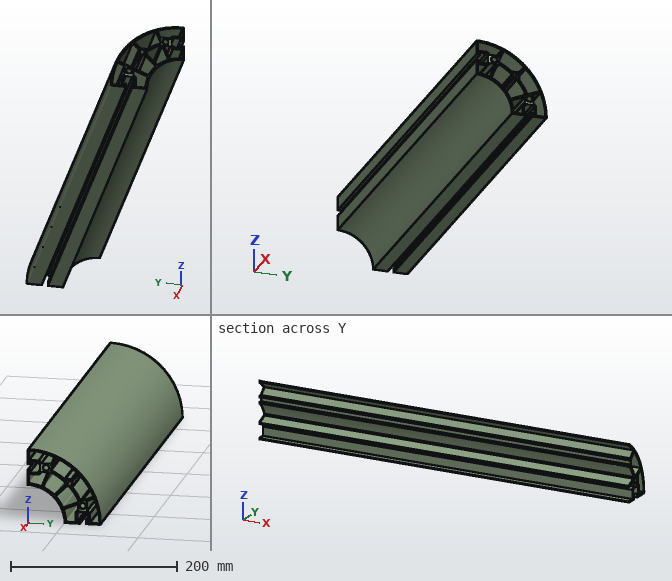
import cadquery as cq
import math

length = 500.0
outer_radius = 89.5
inner_radius = 45.0
outer_skin = 1.75
inner_skin = 2.0
end_skin = 1.75
end_corner_round = 2.0

slot_center = (outer_radius + inner_radius) / 2
slot_opening = 7.5
slot_width = 13.0
slot_depth = 15.0
slot_corner_chamfer = 2.5
slot_wall = 2.25
lip_edge_thickness = 4.5
lip_root_thickness = 2.5

bore_depth = 22.5
bore_diameter = 7.5
bore_boss_width = 11.0
bore_boss_end = 28.5

channel_center_radius = 71.0
channel_side = 6.5
channel_wall = 1.5

web = 2.0
side_web_angle = 22.5
middle_angle = 45.0
web_foot_round = 2.0
middle_wall_radius = 69.5

diagonal = math.sqrt(0.5)
cavity_inner_radius = inner_radius + inner_skin
cavity_outer_radius = outer_radius - outer_skin


def profile_at(y, z):
    """Sketch plane across the extrusion; local x is +Y and local y is +Z."""
    return cq.Workplane("YZ").center(y, z)


def block(y_min, y_max, z_min, z_max):
    center = profile_at((y_min + y_max) / 2, (z_min + z_max) / 2)
    return center.rect(y_max - y_min, z_max - z_min).extrude(length)


def quarter_ring(outer, inner):
    """Quarter ring between two radii, from the Y axis to the Z axis."""
    return (
        profile_at(0, 0)
        .moveTo(inner, 0)
        .lineTo(outer, 0)
        .threePointArc((outer * diagonal, outer * diagonal), (0, outer))
        .lineTo(0, inner)
        .threePointArc((inner * diagonal, inner * diagonal), (inner, 0))
        .close()
        .extrude(length)
    )


def turned(body, angle):
    return body.rotate((0, 0, 0), (1, 0, 0), angle)


def both_ends(body):
    """A body together with its reflection across the plane Y = Z."""
    return body.union(turned(body.mirror("XZ"), -90))


def hollow_shell():
    """Outer and inner skins closed by the two flat end faces."""
    envelope = quarter_ring(outer_radius, inner_radius)
    envelope = envelope.edges("|X").edges(">Y or >Z").fillet(end_corner_round)
    cavity = quarter_ring(cavity_outer_radius, cavity_inner_radius)
    cavity = cavity.intersect(block(end_skin, outer_radius, end_skin, outer_radius))
    return envelope.cut(cavity)


def radial_web(angle):
    start = inner_radius + inner_skin / 2
    end = outer_radius - outer_skin / 2
    return turned(block(start, end, -web / 2, web / 2), angle)


def middle_wall():
    """Curved wall running from one bore to the other."""
    wall = quarter_ring(middle_wall_radius + web / 2, middle_wall_radius - web / 2)
    return wall.intersect(block(bore_depth, outer_radius, bore_depth, outer_radius))


def on_inner_skin(edge):
    center = edge.Center()
    return math.isclose(math.hypot(center.y, center.z), cavity_inner_radius)


def slot_housing():
    """Wall of even thickness around the slot, with the boss for the bore."""
    half_width = slot_width / 2 + slot_wall
    chamfer = slot_corner_chamfer + slot_wall * (2 - math.sqrt(2))
    housing = block(0, slot_depth + slot_wall, slot_center - half_width, slot_center + half_width)
    housing = housing.edges("|X and >Y").chamfer(chamfer)
    half_boss = bore_boss_width / 2
    boss = block(slot_depth, bore_boss_end, slot_center - half_boss, slot_center + half_boss)
    return housing.union(boss)


def slot_cavity():
    """T-slot whose lips thicken toward the opening."""
    half_opening = slot_opening / 2
    half_width = slot_width / 2
    upper = [
        (0, half_opening),
        (lip_edge_thickness, half_opening),
        (lip_root_thickness, half_width),
        (slot_depth - slot_corner_chamfer, half_width),
        (slot_depth, half_width - slot_corner_chamfer),
    ]
    lower = [(y, -z) for y, z in reversed(upper)]
    return profile_at(0, slot_center).polyline(upper + lower).close().extrude(length)


def bore():
    return profile_at(bore_depth, slot_center).circle(bore_diameter / 2).extrude(length)


def channel_square(side):
    center = channel_center_radius * diagonal
    return profile_at(center, center).rect(side, side).extrude(length)


body = hollow_shell()
for web_angle in (side_web_angle, middle_angle, 90 - side_web_angle):
    body = body.union(radial_web(web_angle))
body = body.union(middle_wall())
body = body.edges("|X").filter(on_inner_skin).fillet(web_foot_round)

body = body.union(both_ends(slot_housing()))
body = body.cut(both_ends(slot_cavity()))
body = body.cut(both_ends(bore()))

body = body.union(channel_square(channel_side + 2 * channel_wall))
body = body.cut(channel_square(channel_side))

result = body